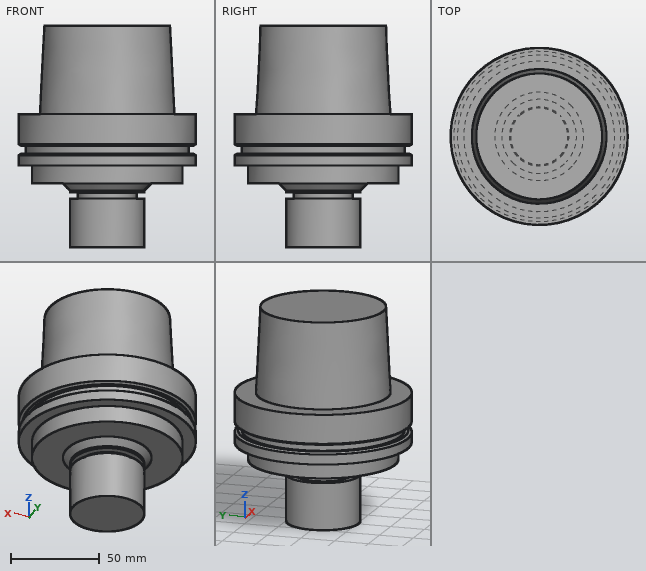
import cadquery as cq

shank_length = 27.5
neck_gap = 3.2
collar_length = 1.2
cone_height = 4.0
disc_height = 10.0
flange_height = 29.0
taper_height = 50.0

shank_diameter = 42.0
neck_diameter = 33.5
neck_end_diameter = 32.0
disc_diameter = 85.0
flange_diameter = 100.0
taper_base_diameter = 76.0
taper_top_diameter = 71.0

groove_root_diameter = 92.0
groove_lip_diameter = 96.1
groove_root_width = 4.0
groove_mouth_width = 6.2
groove_depth_below_face = 20.0

seat_depth = 0.5

collar_bottom = shank_length + neck_gap
neck_top = collar_bottom + seat_depth
cone_bottom = collar_bottom + collar_length
disc_bottom = cone_bottom + cone_height
flange_bottom = disc_bottom + disc_height
flange_top = flange_bottom + flange_height
taper_top = flange_top + taper_height
groove_center = flange_top - groove_depth_below_face

cone_top_diameter = shank_diameter + 2 * cone_height
neck_chamfer = (neck_diameter - neck_end_diameter) / 2


def cylinder(diameter, bottom, top):
    return cq.Workplane("XY").workplane(offset=bottom).circle(diameter / 2).extrude(top - bottom)


def frustum(bottom_diameter, top_diameter, bottom, top):
    height = top - bottom
    return (
        cq.Workplane("XY")
        .workplane(offset=bottom)
        .circle(bottom_diameter / 2)
        .workplane(offset=height)
        .circle(top_diameter / 2)
        .loft(ruled=True)
    )


def gripper_groove():
    """Ring with a straight-sided root and flared lips, to be cut from the flange."""
    half_root = groove_root_width / 2
    half_mouth = groove_mouth_width / 2
    root = groove_root_diameter / 2
    lip = groove_lip_diameter / 2
    rim = flange_diameter / 2
    return (
        cq.Workplane("XZ")
        .moveTo(root, groove_center - half_root)
        .lineTo(lip, groove_center - half_root)
        .lineTo(rim, groove_center - half_mouth)
        .lineTo(rim, groove_center + half_mouth)
        .lineTo(lip, groove_center + half_root)
        .lineTo(root, groove_center + half_root)
        .close()
        .revolve(360, (0, 0, 0), (0, 1, 0))
    )


def make_shank():
    """Cylindrical shank with a narrower neck that ends in a chamfer."""
    neck = cylinder(neck_diameter, shank_length, neck_top).faces(">Z").chamfer(neck_chamfer)
    return cylinder(shank_diameter, 0, shank_length).union(neck)


def make_holder(seated_shank):
    """Tapered tool holder whose collar has a recess matching the seated neck end."""
    flange = cylinder(flange_diameter, flange_bottom, flange_top).cut(gripper_groove())
    taper = frustum(taper_base_diameter, taper_top_diameter, flange_top, taper_top)
    disc = cylinder(disc_diameter, disc_bottom, flange_bottom)
    cone = frustum(shank_diameter, cone_top_diameter, cone_bottom, disc_bottom)
    collar = cylinder(shank_diameter, collar_bottom, cone_bottom)
    return flange.union(taper).union(disc).union(cone).union(collar).cut(seated_shank)


shank = make_shank()
holder = make_holder(shank)

result = cq.Compound.makeCompound([holder.solids().val(), shank.solids().val()])